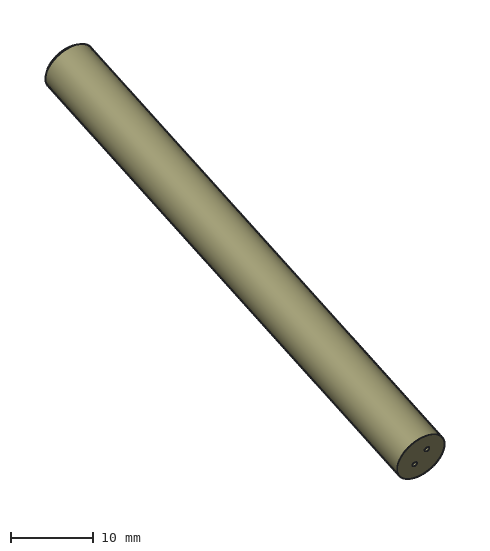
import cadquery as cq
import math

rod_length = 75.0
rod_diameter = 7.0
chamfer_size = 0.35

hole_diameter = 0.7
hole_circle_diameter = 2.4
hole_angle = 50.0
helix_angle = 30.0
hole_overrun = 0.75

helix_pitch = math.pi * rod_diameter / math.tan(math.radians(helix_angle))
hole_orbit = hole_circle_diameter / 2


def make_rod():
    """Cylinder along X, chamfered at its -X end only."""
    rod = cq.Workplane("YZ").circle(rod_diameter / 2).extrude(rod_length)
    return rod.faces("<X").chamfer(chamfer_size)


def make_helical_hole(angle):
    """Right-handed round cutter along X that crosses the -X face at the given angle."""
    cutter_length = rod_length + 2 * hole_overrun
    path = cq.Wire.makeHelix(helix_pitch, cutter_length, hole_orbit)
    cutter = cq.Workplane("XY").center(hole_orbit, 0).circle(hole_diameter / 2).sweep(path, isFrenet=True)

    overrun_turn = 360 * hole_overrun / helix_pitch
    cutter = cutter.translate((0, 0, -hole_overrun))
    cutter = cutter.rotate((0, 0, 0), (0, 0, 1), angle - overrun_turn)

    return cutter.rotate((0, 0, 0), (1, 1, 1), 120)


result = make_rod()
for turn in (0, 180):
    result = result.cut(make_helical_hole(hole_angle + turn))